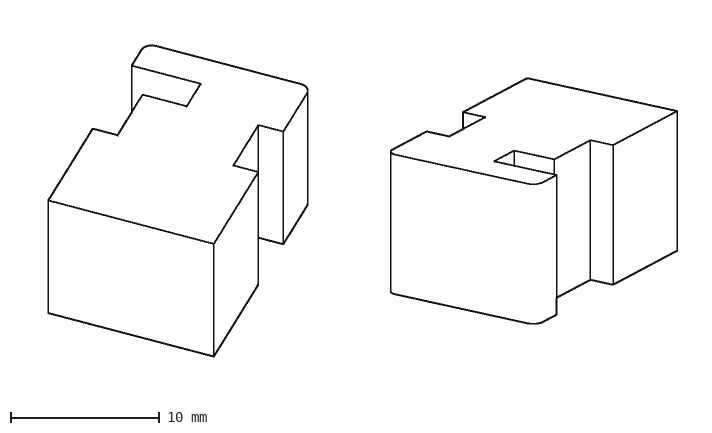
import cadquery as cq

width = 12.0
length = 17.5
height = 10.0

body_length = 8.0
waist_end = 12.5
head_start = 15.0

waist_depth = 1.8
slot_depth = 5.0

corner_radius = 0.75


def side_cut(x_start, x_end, y_start, y_end):
    """Full-height box that removes a rectangular notch."""
    return cq.Workplane("XY").box(
        x_end - x_start, y_end - y_start, height, centered=False
    ).translate((x_start, y_start, 0))


block = cq.Workplane("XY").box(width, length, height, centered=False)
block = block.edges("|Z and >Y").fillet(corner_radius)

left_notch = side_cut(0, waist_depth, body_length, waist_end)
right_notch = side_cut(width - waist_depth, width, body_length, waist_end)
left_slot = side_cut(0, slot_depth, waist_end, head_start)

result = block.cut(left_notch).cut(right_notch).cut(left_slot)